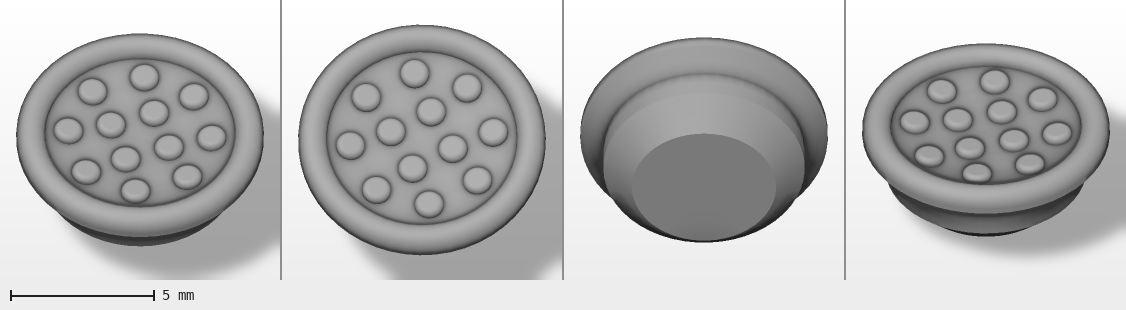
import cadquery as cq
import math

base_radius = 3.5
taper_height = 1.0
base_bottom_radius = base_radius - taper_height
flare_bottom_z = 2 * taper_height
base_top_z = 2.305

outer_radius = 4.3
rim_width = 1.0
rim_inner_radius = outer_radius - rim_width
rim_round_radius = rim_width / 2
total_height = 3.3
rim_round_z = total_height - rim_round_radius
flare_top_z = 2.57

flare_slope = (outer_radius - base_radius) / (flare_top_z - flare_bottom_z)
base_top_radius = base_radius + flare_slope * (base_top_z - flare_bottom_z)

pad_radius = rim_inner_radius
pad_edge_z = rim_round_z
dish_depth = 0.23
dish_sphere_radius = (pad_radius**2 + dish_depth**2) / (2 * dish_depth)

stud_radius = 0.5
stud_height = 0.3
stud_root_depth = 0.09
stud_fillet = 0.2
inner_stud_count = 4
inner_stud_circle_radius = 1.13
outer_stud_count = 8
outer_stud_circle_radius = 2.5
outer_stud_start_angle = 180 / outer_stud_count


def revolve_about_z(profile):
    """Turn a closed (radius, z) profile a full circle about the Z axis."""
    return profile.close().revolve(360, (0, 0, 0), (0, 1, 0))


def make_base():
    profile = (
        cq.Workplane("XZ")
        .lineTo(base_bottom_radius, 0)
        .lineTo(base_radius, taper_height)
        .lineTo(base_radius, flare_bottom_z)
        .lineTo(base_top_radius, base_top_z)
        .lineTo(0, base_top_z)
    )
    return revolve_about_z(profile)


def dish_z(radius):
    """Height of the spherical floor at a distance from the axis."""
    sphere_center_z = pad_edge_z - dish_depth + dish_sphere_radius
    return sphere_center_z - math.sqrt(dish_sphere_radius**2 - radius**2)


def make_stud(circle_radius, angle):
    """A round-topped stud standing square to the dish, so it leans slightly toward the axis."""
    lean = math.degrees(math.asin(circle_radius / dish_sphere_radius))
    return (
        cq.Workplane("XY", origin=(0, 0, -stud_root_depth))
        .circle(stud_radius)
        .extrude(stud_root_depth + stud_height)
        .faces(">Z")
        .edges()
        .fillet(stud_fillet)
        .rotate((0, 0, 0), (0, 1, 0), -lean)
        .translate((circle_radius, 0, dish_z(circle_radius)))
        .rotate((0, 0, 0), (0, 0, 1), angle)
    )


def make_pad():
    middle_radius = pad_radius / 2
    profile = (
        cq.Workplane("XZ")
        .moveTo(0, base_top_z)
        .lineTo(pad_radius, base_top_z)
        .lineTo(pad_radius, pad_edge_z)
        .threePointArc((middle_radius, dish_z(middle_radius)), (0, dish_z(0)))
    )
    pad = revolve_about_z(profile)
    stud_circles = [
        (inner_stud_count, inner_stud_circle_radius, 0),
        (outer_stud_count, outer_stud_circle_radius, outer_stud_start_angle),
    ]
    for count, circle_radius, start_angle in stud_circles:
        for index in range(count):
            angle = start_angle + index * 360 / count
            pad = pad.union(make_stud(circle_radius, angle))
    return pad


def make_rim():
    profile = (
        cq.Workplane("XZ")
        .moveTo(rim_inner_radius, base_top_z)
        .lineTo(base_top_radius, base_top_z)
        .lineTo(outer_radius, flare_top_z)
        .lineTo(outer_radius, rim_round_z)
        .threePointArc(
            (outer_radius - rim_round_radius, total_height),
            (rim_inner_radius, rim_round_z),
        )
    )
    return revolve_about_z(profile)


base = make_base()
pad = make_pad()
rim = make_rim()

result = cq.Compound.makeCompound([base.val(), *pad.solids().vals(), rim.val()])